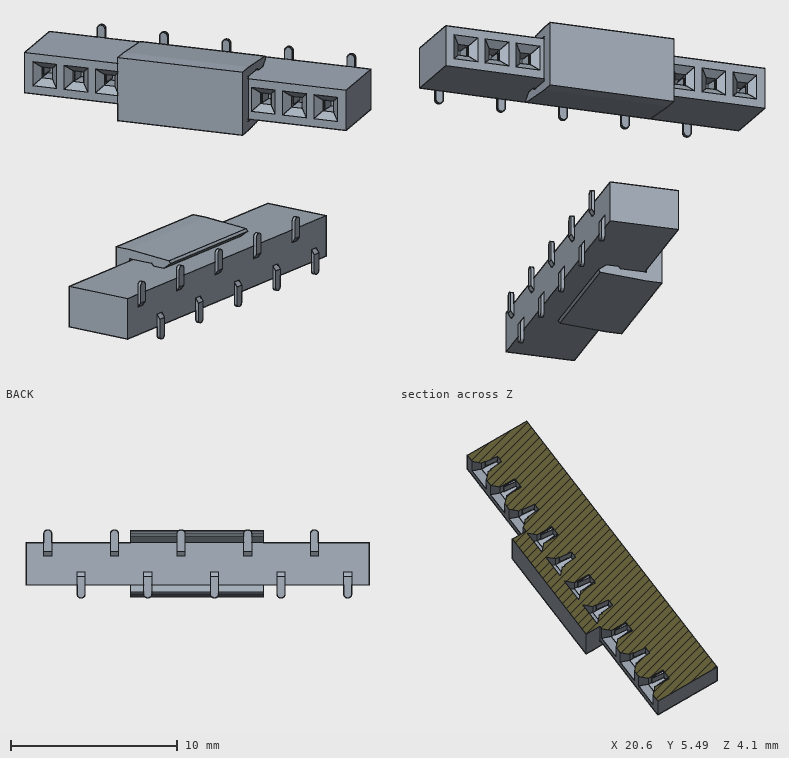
import cadquery as cq

housing_length = 20.6
housing_depth = 4.3
housing_height = 2.55
front_y = 0.0
back_y = front_y + housing_depth
housing_half_height = housing_height / 2

contact_count = 10
contact_pitch = 2.0
first_contact_x = -contact_pitch * (contact_count - 1) / 2

funnel_mouth = 1.52
throat_size = 0.68
funnel_depth = 0.41
throat_depth = 0.23
beam_entry_width = 0.58
beam_tip_width = 0.41
beam_gap_depth = 0.82
beam_clearance = 0.12

tail_thickness = 0.2
tail_width = 0.5
tail_reach = 2.05
tail_bend_inner_z = 0.47
tail_bend_outer_z = 0.76
tail_radius = tail_width / 2

cap_width = 8.0
cap_offset_x = 0.05
cap_half_height = 2.0
cap_wall = 0.99
arm_end_half_height = 1.81
arm_nose_half_height = 1.67
arm_nose_y = 3.03
arm_nose_chamfer = 0.12
arm_lead_in = 0.5
arm_gap = 0.15
arm_pad_start_y = 1.77


def make_housing():
    return cq.Workplane("XY").box(housing_length, housing_depth, housing_height).translate(
        (0, front_y + housing_depth / 2, 0)
    )


def make_cap():
    """U-shaped clip whose two arms grip the housing with a pad near each tip."""
    upper_arm = [
        (front_y, cap_half_height),
        (arm_nose_y - arm_nose_chamfer, arm_end_half_height),
        (arm_nose_y, arm_nose_half_height),
        (arm_nose_y - arm_lead_in, housing_half_height),
        (arm_pad_start_y, housing_half_height),
        (arm_pad_start_y - arm_gap, housing_half_height + arm_gap),
        (front_y, housing_half_height + arm_gap),
    ]
    lower_arm = [(y, -z) for y, z in reversed(upper_arm)]
    cap_front_y = front_y - cap_wall
    front_wall = [(cap_front_y, -cap_half_height), (cap_front_y, cap_half_height)]
    outline = front_wall + upper_arm + lower_arm
    return cq.Workplane("YZ").polyline(outline).close().extrude(cap_width / 2, both=True)


def make_tapered_void(start_y, depth, start_size, end_size):
    """Void running toward +Y from one centred rectangle (X, Z size) to another."""
    return (
        cq.Workplane("XZ", origin=(0, start_y, 0))
        .rect(*start_size)
        .workplane(offset=-depth)
        .rect(*end_size)
        .loft(ruled=True)
    )


def make_socket(tail_side):
    """Socket void; the spring beams stop short of the throat wall on the tail side."""
    mouth_section = (funnel_mouth, funnel_mouth)
    throat_section = (throat_size, throat_size)
    beam_entry_section = (beam_entry_width, throat_size)
    beam_tip_section = (beam_tip_width, throat_size)
    throat_y = front_y + funnel_depth
    beam_y = throat_y + throat_depth
    funnel = make_tapered_void(front_y, funnel_depth, mouth_section, throat_section)
    throat = make_tapered_void(throat_y, throat_depth, throat_section, throat_section)
    beam_gap = make_tapered_void(beam_y, beam_gap_depth, beam_entry_section, beam_tip_section)
    clearance_z = tail_side * (throat_size - beam_clearance) / 2
    clearance = cq.Workplane("XY").box(throat_size, beam_gap_depth, beam_clearance).translate(
        (0, beam_y + beam_gap_depth / 2, clearance_z)
    )
    return funnel.union(throat).union(beam_gap).union(clearance)


def make_tail(tail_side):
    """Round-ended strip with a slanted root; tail_side is +1 for up and -1 for down."""
    outer_y = back_y + tail_thickness
    side_outline = [
        (back_y, tail_bend_inner_z),
        (outer_y, tail_bend_outer_z),
        (outer_y, tail_reach),
        (back_y, tail_reach),
    ]
    strip = (
        cq.Workplane("YZ")
        .polyline([(y, tail_side * z) for y, z in side_outline])
        .close()
        .extrude(tail_width / 2, both=True)
    )
    round_start_z = tail_side * (tail_reach - tail_radius)
    round_ended_face = (
        cq.Workplane("XZ", origin=(0, back_y, 0))
        .moveTo(-tail_radius, 0)
        .lineTo(-tail_radius, round_start_z)
        .threePointArc((0, tail_side * tail_reach), (tail_radius, round_start_z))
        .lineTo(tail_radius, 0)
        .close()
        .extrude(-tail_thickness)
    )
    return strip.intersect(round_ended_face)


housing = make_housing()
for index in range(contact_count):
    contact_x = first_contact_x + index * contact_pitch
    tail_side = -1 if index % 2 == 0 else 1
    housing = housing.cut(make_socket(tail_side).translate((contact_x, 0, 0)))
    housing = housing.union(make_tail(tail_side).translate((contact_x, 0, 0)))

result = housing.union(make_cap().translate((cap_offset_x, 0, 0)))